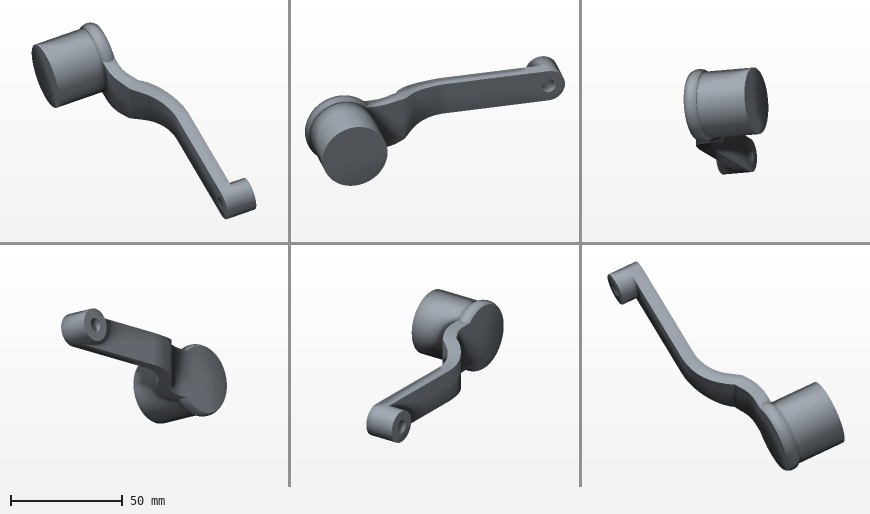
import cadquery as cq
import math


knob_radius = 15.0
knob_front = -29.0
disc_radius = 32.8 / 2
disc_face_radius = 15.4
thickness = 6.0

arm_start = 3.7
arm_offset = 18.0
low_bend_start = 15.1
low_bend_end = 24.8
low_bend_radius = 17.4
high_bend_end = 52.4
high_bend_radius = 30.0
back_corner = (27.5, 4.3)
front_corner = (30.0, -1.2)
front_high_bend_start = 35.5

root_half_width = 21.9 / 2
taper_start = 22.9
taper_middle = (31.9, 9.8)
taper_end = 47.5

boss_x = 100.0
boss_radius = 15.0 / 2
boss_back = 26.0
hole_radius = 6.3 / 2
thread_depth = 0.5
thread_pitch = 1.2


def cylinder_along_y(x, radius, y_start, y_end):
    plane = cq.Plane(origin=(x, y_start, 0), xDir=(1, 0, 0), normal=(0, 1, 0))
    return cq.Workplane(plane).circle(radius).extrude(y_end - y_start)


def make_disc():
    """Disc with a bulging rim, turned about Y."""
    return (
        cq.Workplane("XY")
        .lineTo(-disc_face_radius, 0)
        .threePointArc((-disc_radius, -thickness / 2), (-disc_face_radius, -thickness))
        .lineTo(0, -thickness)
        .close()
        .revolve(360, (0, 0, 0), (0, 1, 0))
    )


def low_bend_point(radius, x):
    """Point at x on the bend that curves up from the disc."""
    run = x - low_bend_start
    return x, low_bend_radius - math.sqrt(radius**2 - run**2)


def high_bend_point(radius, x):
    """Point at x on the bend that levels out into the straight arm."""
    run = high_bend_end - x
    return x, arm_offset - high_bend_radius + math.sqrt(radius**2 - run**2)


def make_bent_strip():
    """Side profile of the arm, extruded over the full root width."""
    outer_low = low_bend_radius + thickness
    inner_high = high_bend_radius - thickness
    low_middle = (low_bend_start + low_bend_end) / 2
    back_middle = (back_corner[0] + high_bend_end) / 2
    front_middle = (front_high_bend_start + high_bend_end) / 2
    return (
        cq.Workplane("XY")
        .moveTo(arm_start, 0)
        .lineTo(low_bend_start, 0)
        .threePointArc(
            low_bend_point(low_bend_radius, low_middle), low_bend_point(low_bend_radius, low_bend_end)
        )
        .lineTo(*back_corner)
        .lineTo(*high_bend_point(high_bend_radius, back_corner[0]))
        .threePointArc(high_bend_point(high_bend_radius, back_middle), (high_bend_end, arm_offset))
        .lineTo(boss_x, arm_offset)
        .lineTo(boss_x, arm_offset - thickness)
        .lineTo(high_bend_end, arm_offset - thickness)
        .threePointArc(
            high_bend_point(inner_high, front_middle), high_bend_point(inner_high, front_high_bend_start)
        )
        .lineTo(*front_corner)
        .lineTo(*low_bend_point(outer_low, low_bend_end))
        .threePointArc(low_bend_point(outer_low, low_middle), (low_bend_start, -thickness))
        .lineTo(arm_start, -thickness)
        .close()
        .extrude(root_half_width, both=True)
    )


def make_width_outline():
    """Arm outline seen along Y, with an S-shaped taper on both edges."""
    middle_x, middle_z = taper_middle
    return (
        cq.Workplane("XZ", origin=(0, boss_back, 0))
        .moveTo(arm_start, 0)
        .lineTo(arm_start, root_half_width)
        .lineTo(taper_start, root_half_width)
        .tangentArcPoint((middle_x, middle_z), relative=False)
        .tangentArcPoint((taper_end, boss_radius), relative=False)
        .lineTo(boss_x, boss_radius)
        .lineTo(boss_x, 0)
        .mirrorX()
        .extrude(boss_back - knob_front)
    )


def make_threaded_hole():
    """Through hole whose thread is modelled as equally spaced V grooves."""
    front = arm_offset - thickness
    hole = cylinder_along_y(boss_x, hole_radius, front, boss_back)
    groove_count = math.floor((boss_back - front) / thread_pitch)
    for index in range(groove_count):
        start = front + index * thread_pitch
        groove = (
            cq.Workplane("XY")
            .moveTo(boss_x, start)
            .lineTo(boss_x + hole_radius, start)
            .lineTo(boss_x + hole_radius + thread_depth, start + thread_pitch / 2)
            .lineTo(boss_x + hole_radius, start + thread_pitch)
            .lineTo(boss_x, start + thread_pitch)
            .close()
            .revolve(360, (boss_x, 0, 0), (boss_x, 1, 0))
        )
        hole = hole.union(groove)
    return hole


arm = make_bent_strip().intersect(make_width_outline())
boss = cylinder_along_y(boss_x, boss_radius, arm_offset - thickness, boss_back)
knob = cylinder_along_y(0, knob_radius, knob_front, 0)
result = knob.union(arm).union(make_disc()).union(boss).cut(make_threaded_hole())